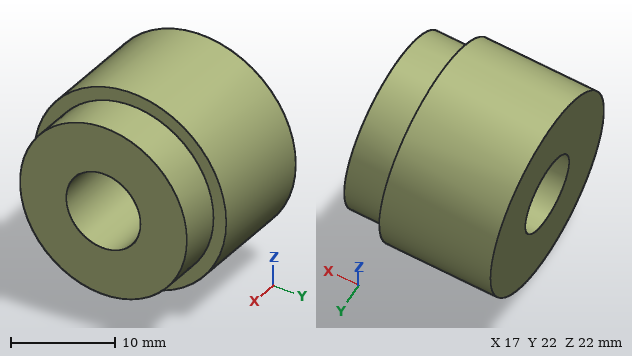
import cadquery as cq

body_diameter = 22.0
spigot_diameter = 19.1
bore_diameter = 8.5
total_length = 17.0
body_length = 12.3
spigot_length = total_length - body_length

body = cq.Workplane("YZ").circle(body_diameter / 2).extrude(body_length)

stepped = body.faces(">X").workplane().circle(spigot_diameter / 2).extrude(spigot_length)

bore = cq.Workplane("YZ").circle(bore_diameter / 2).extrude(total_length)

result = stepped.cut(bore)